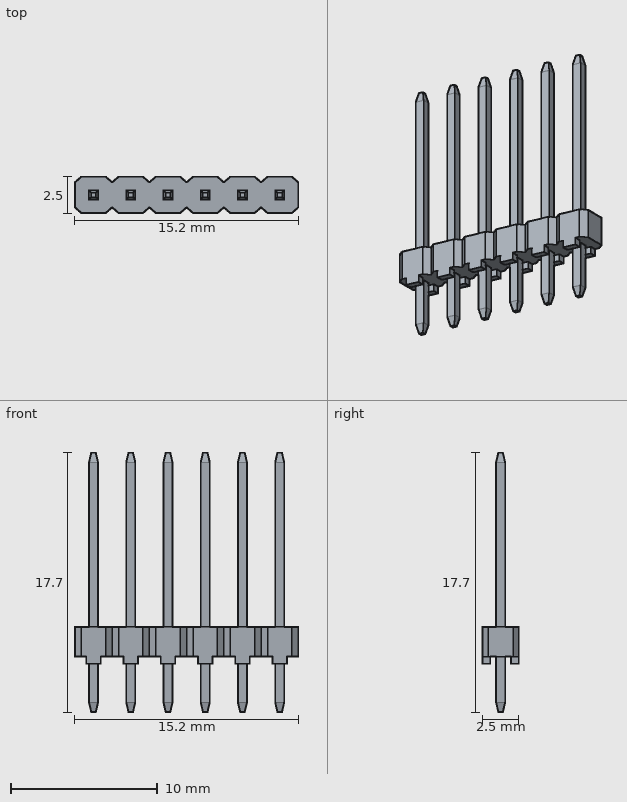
import cadquery as cq

pin_count = 6
body_length = 15.24
body_depth = 2.5
body_height = 2.02
pitch = body_length / pin_count

corner_cut_x = 0.45
corner_cut_y = 0.39

foot_width = 1.01
foot_depth = 0.55
foot_height = 0.5

pin_length = 17.7
pin_width = 0.64
pin_below_body = 3.79
tip_width = 0.32
tip_length = 0.67

pin_positions = [((index - (pin_count - 1) / 2) * pitch, 0) for index in range(pin_count)]


def make_body():
    """Row of octagonal segments that share their narrow end faces."""
    half_pitch = pitch / 2
    half_depth = body_depth / 2
    flat_x = half_pitch - corner_cut_x
    flat_y = half_depth - corner_cut_y
    segment_outline = [
        (half_pitch, -flat_y),
        (half_pitch, flat_y),
        (flat_x, half_depth),
        (-flat_x, half_depth),
        (-half_pitch, flat_y),
        (-half_pitch, -flat_y),
        (-flat_x, -half_depth),
        (flat_x, -half_depth),
    ]
    segment = cq.Workplane("XY").polyline(segment_outline).close().extrude(body_height)
    body = segment.translate((*pin_positions[0], 0))
    for x, y in pin_positions[1:]:
        body = body.union(segment.translate((x, y, 0)))
    return body.clean()


def make_feet():
    """Two rows of feet, flush with the front and back faces of the body."""
    foot_y = (body_depth - foot_depth) / 2
    foot_positions = [(x, side * foot_y) for x, _ in pin_positions for side in (-1, 1)]
    return (
        cq.Workplane("XY")
        .pushPoints(foot_positions)
        .rect(foot_width, foot_depth)
        .extrude(-foot_height)
    )


def make_pin():
    """Square pin on the Z axis, tapered on all four sides at both ends."""
    shaft_length = pin_length - 2 * tip_length
    taper_start = tip_length - pin_below_body
    shaft = (
        cq.Workplane("XY", origin=(0, 0, taper_start))
        .rect(pin_width, pin_width)
        .extrude(shaft_length)
    )
    pin = shaft
    for end_face in ("<Z", ">Z"):
        tip = (
            shaft.faces(end_face)
            .workplane(centerOption="CenterOfMass")
            .rect(pin_width, pin_width)
            .workplane(offset=tip_length)
            .rect(tip_width, tip_width)
            .loft(combine=False)
        )
        pin = pin.union(tip)
    return pin


result = make_body().union(make_feet())
pin = make_pin()
for x, y in pin_positions:
    result = result.union(pin.translate((x, y, 0)))